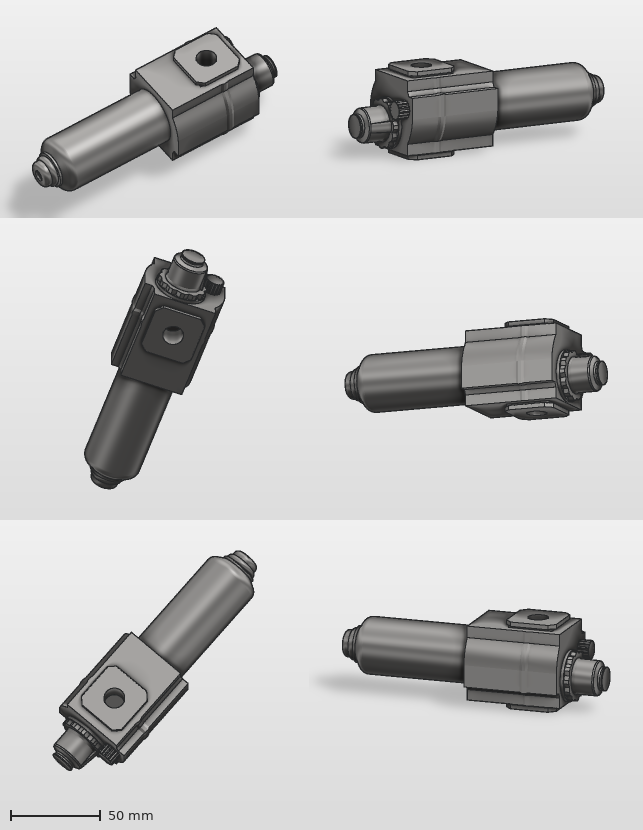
import cadquery as cq
import math


top_y = 19.3
bottom_y = -35.6
rib_height = 0.5
rib_base = 4.8
rib_crest = 1.9
overall_width = 48.3
neck_width = 36.2
body_depth = 42.7
cheek_x = overall_width / 2 - rib_height
neck_x = neck_width / 2
half_depth = body_depth / 2
arc_end_z = 14.8
cheek_radius = 28.0
ledge_x = 19.6
ledge_z = 12.5
corner_z = 15.2

flange_size = 29.5
flange_corner = 3.7
flange_thickness = 2.5
flange_neck_size = 25.8
overall_depth = 50.2
port_diameter = 11.5
port_depth = 15.5

bowl_diameter = 32.5
bowl_radius = bowl_diameter / 2
shoulder_y = -98.5
cone_y = -102.7
cone_radius = 13.8
rim_y = -104.9
rim_radius = 10.4
bowl_end_y = -106.5

drain_tip_y = -114.1
drain_root_radius = 8.5
drain_bead_radius = 9.2
drain_bead_y = -108.2
drain_bead_round = 2.2
drain_bead_end_y = -110.0
drain_tip_radius = 7.8
drain_round = 2.5
drain_bore_diameter = 6.4
drain_bore_radius = drain_bore_diameter / 2
drain_bore_depth = 1.5

dome_x = 3.0
dome_z = -6.0
dome_top_y = 41.3
base_radius = 14.6
base_top_y = 21.1
collar_radius = 14.1
collar_top_y = 24.2
dome_radius = 10.0
dome_foot_radius = 10.4
dome_foot_y = 25.8
dome_edge_y = 36.4
dome_bevel_y = 37.3
dome_bevel_radius = 9.6
cap_radius = 6.7
cap_root_y = 38.5
cap_waist_y = 39.6
cap_waist_radius = 6.2
cap_rim_y = 40.7
collar_notches = 12
collar_notch_half_angle = 10.5
collar_notch_depth = 1.0

pointer_foot_reach = 11.8
pointer_foot_edge = 11.2
pointer_top_reach = 10.1
pointer_top_edge = 9.6
pointer_foot_width = 6.2
pointer_top_width = 5.3
pointer_root = 7.8

plug_x = -15.4
plug_z = 4.7
plug_radius = 5.5
plug_end_y = 26.1
plug_chamfer = 0.3
plug_flutes = 16
plug_flute_half_angle = 10.0
plug_flute_depth = 0.5

cutter_overreach = 1.5


def section_plane(y):
    """Plane across the Y axis; extruding from it runs toward -Y."""
    return cq.Workplane("XZ", origin=(0, y, 0))


def vee_notches(radius, count, half_angle, depth, first_angle, upper_y, lower_y):
    """Ring of V-shaped cutters around the Y axis, reaching past the given radius."""
    outer = radius + cutter_overreach
    half_width = radius * math.sin(math.radians(half_angle))
    edge = radius * math.cos(math.radians(half_angle))
    vee = [
        (edge - depth, 0),
        (edge, half_width),
        (outer, half_width),
        (outer, -half_width),
        (edge, -half_width),
    ]
    cutter = (
        section_plane(upper_y)
        .polyline(vee)
        .close()
        .extrude(upper_y - lower_y)
    )
    cutters = cq.Workplane("XY")
    for i in range(count):
        cutters = cutters.add(cutter.rotate((0, 0, 0), (0, 1, 0), first_angle + i * 360 / count))
    return cutters.combine()


def housing_outline(y):
    """Cross-section of the housing, unchanged by a half turn about Y."""
    outline = section_plane(y).moveTo(-neck_x, half_depth)
    for side in (1, -1):
        outline = (
            outline
            .lineTo(side * neck_x, side * half_depth)
            .lineTo(side * neck_x, side * arc_end_z)
            .radiusArc((side * cheek_x, 0), cheek_radius)
            .lineTo(side * cheek_x, -side * ledge_z)
            .lineTo(side * ledge_x, -side * ledge_z)
            .lineTo(side * neck_x, -side * corner_z)
            .lineTo(side * neck_x, -side * half_depth)
        )
    return outline.close()


def make_rib():
    """Low trapezoidal band around the flanks, centred on the port axis."""
    upper_base = housing_outline(rib_base / 2).val()
    upper_crest = housing_outline(rib_crest / 2).offset2D(rib_height, "intersection").val()
    lower_crest = housing_outline(-rib_crest / 2).offset2D(rib_height, "intersection").val()
    lower_base = housing_outline(-rib_base / 2).val()
    band = cq.Workplane(cq.Solid.makeLoft([upper_base, upper_crest, lower_crest, lower_base], True))
    flank_zone = cq.Workplane("XY").box(2 * (cheek_x + rib_height), rib_base, 2 * half_depth)
    return band.intersect(flank_zone)


def make_flange(side):
    """Port flange on a narrower neck; side is +1 for the +Z port and -1 for the -Z port."""
    outer_z = overall_depth / 2
    neck_height = outer_z - half_depth
    neck = (
        cq.Workplane("XY", origin=(0, 0, side * half_depth))
        .rect(flange_neck_size, flange_neck_size)
        .extrude(side * neck_height)
    )
    plate = (
        cq.Workplane("XY", origin=(0, 0, side * outer_z))
        .rect(flange_size, flange_size)
        .extrude(-side * flange_thickness)
        .edges("|Z")
        .chamfer(flange_corner)
    )
    return neck.union(plate)


def make_port(side):
    return (
        cq.Workplane("XY", origin=(0, 0, side * overall_depth / 2))
        .circle(port_diameter / 2)
        .extrude(-side * port_depth)
    )


def make_housing():
    body = housing_outline(top_y).extrude(top_y - bottom_y).union(make_rib())
    for side in (1, -1):
        body = body.union(make_flange(side)).cut(make_port(side))
    return body


def make_bowl():
    """Tube with a rounded shoulder, a cone and a short rim."""
    return (
        cq.Workplane("XY")
        .moveTo(0, bottom_y)
        .lineTo(bowl_radius, bottom_y)
        .lineTo(bowl_radius, shoulder_y)
        .tangentArcPoint((cone_radius, cone_y), relative=False)
        .lineTo(rim_radius, rim_y)
        .lineTo(rim_radius, bowl_end_y)
        .lineTo(0, bowl_end_y)
        .close()
        .revolve(360, (0, 0, 0), (0, 1, 0))
    )


def make_drain():
    """Drain plug with a rounded bead, a rounded tip and a blind bore."""
    tip_edge_radius = drain_tip_radius - drain_round
    return (
        cq.Workplane("XY")
        .moveTo(0, bowl_end_y)
        .lineTo(drain_root_radius, bowl_end_y)
        .radiusArc((drain_bead_radius, drain_bead_y), drain_bead_round)
        .radiusArc((drain_tip_radius, drain_bead_end_y), drain_bead_round)
        .lineTo(drain_tip_radius, drain_tip_y + drain_round)
        .tangentArcPoint((tip_edge_radius, drain_tip_y), relative=False)
        .lineTo(drain_bore_radius, drain_tip_y)
        .lineTo(drain_bore_radius, drain_tip_y + drain_bore_depth)
        .lineTo(0, drain_tip_y + drain_bore_depth)
        .close()
        .revolve(360, (0, 0, 0), (0, 1, 0))
    )


def pointer_section(plane, reach, edge, width):
    """Close one pointer section: flat sides with a rounded crest."""
    half_width = width / 2
    return (
        plane
        .moveTo(-pointer_root, half_width)
        .lineTo(-edge, half_width)
        .threePointArc((-reach, 0), (-edge, -half_width))
        .lineTo(-pointer_root, -half_width)
        .close()
    )


def make_pointer():
    """Round-crested ridge that leans outward toward the collar."""
    top = pointer_section(section_plane(dome_edge_y), pointer_top_reach, pointer_top_edge, pointer_top_width)
    foot_plane = top.workplane(offset=dome_edge_y - collar_top_y)
    foot = pointer_section(foot_plane, pointer_foot_reach, pointer_foot_edge, pointer_foot_width)
    return foot.loft(ruled=True)


def make_sight_dome():
    """Domed cap on a notched collar, with a pointer ridge on its -X side."""
    profile = [
        (0, top_y),
        (base_radius, top_y),
        (base_radius, base_top_y),
        (collar_radius, base_top_y),
        (collar_radius, collar_top_y),
        (dome_foot_radius, collar_top_y),
        (dome_radius, dome_foot_y),
        (dome_radius, dome_edge_y),
        (dome_bevel_radius, dome_bevel_y),
        (cap_radius, cap_root_y),
        (cap_waist_radius, cap_waist_y),
        (cap_radius, cap_rim_y),
        (cap_radius, dome_top_y),
        (0, dome_top_y),
    ]
    notches = vee_notches(
        collar_radius, collar_notches, collar_notch_half_angle, collar_notch_depth,
        180 / collar_notches, collar_top_y, base_top_y,
    )
    dome = cq.Workplane("XY").polyline(profile).close().revolve(360, (0, 0, 0), (0, 1, 0))
    return dome.cut(notches).union(make_pointer()).translate((dome_x, 0, dome_z))


def make_fill_plug():
    """Fluted plug with a small chamfer at its free end."""
    plug = (
        section_plane(plug_end_y)
        .circle(plug_radius)
        .extrude(plug_end_y - top_y)
        .faces(">Y")
        .chamfer(plug_chamfer)
    )
    flutes = vee_notches(
        plug_radius, plug_flutes, plug_flute_half_angle, plug_flute_depth,
        180 / plug_flutes, plug_end_y, top_y,
    )
    return plug.cut(flutes).translate((plug_x, 0, plug_z))


housing = make_housing()
bowl = make_bowl()
drain = make_drain()
sight_dome = make_sight_dome()
fill_plug = make_fill_plug()

result = cq.Compound.makeCompound([
    housing.val(),
    bowl.val(),
    drain.val(),
    sight_dome.val(),
    fill_plug.val(),
])